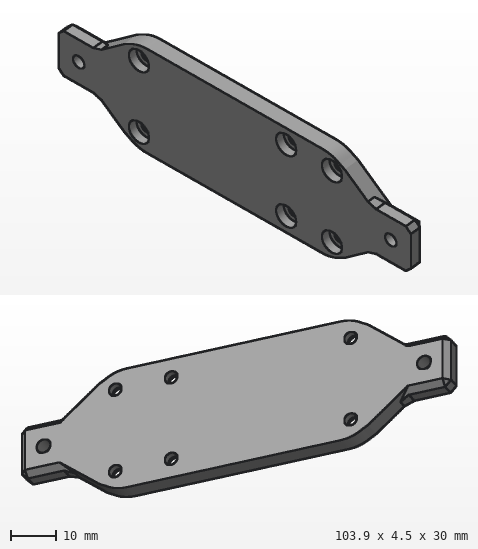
import cadquery as cq
import math

length = 103.9
height = 30.0
thickness = 4.5
half_length = length / 2
half_height = height / 2

arc_start_x = 25.9
arc_end_x, arc_end_z = 31.2, 13.4
shoulder_x, shoulder_z = 32.5, 12.7
taper_angle = math.radians(38.5)

tab_half_height = 6.4
tab_chamfer = 1.5
flare_setback = 1.4
tab_hole_x = 46.0
tab_hole_diameter = 3.3

screw_xs = (-28.3, 15.2, 28.7)
screw_z = 10.3
screw_diameter = 3.0
counterbore_diameter = 5.9
counterbore_depth = 2.5

root_x = shoulder_x + (shoulder_z - tab_half_height) / math.tan(taper_angle)
apex_x = shoulder_x + shoulder_z / math.tan(taper_angle)


def front_plane():
    """XZ sketch plane whose positive extrusion runs from front to back."""
    return cq.Workplane(cq.Plane(origin=(0, 0, 0), xDir=(1, 0, 0), normal=(0, -1, 0)))


def shoulder_arc_middle():
    """Midpoint of the arc that leaves the long edge tangentially."""
    run = arc_end_x - arc_start_x
    drop = half_height - arc_end_z
    radius = (run**2 + drop**2) / (2 * drop)
    half_sweep = math.asin(run / radius) / 2
    middle_x = arc_start_x + radius * math.sin(half_sweep)
    middle_z = half_height - radius * (1 - math.cos(half_sweep))
    return middle_x, middle_z


def make_body():
    """Central plate whose straight tapers run to a point inside each tab."""
    middle_x, middle_z = shoulder_arc_middle()
    quarter = (
        front_plane()
        .lineTo(0, half_height)
        .lineTo(arc_start_x, half_height)
        .threePointArc((middle_x, middle_z), (arc_end_x, arc_end_z))
        .lineTo(shoulder_x, shoulder_z)
        .lineTo(apex_x, 0)
        .close()
        .extrude(-thickness)
    )
    half = quarter.union(quarter.mirror("XY"))
    return half.union(half.mirror("YZ"))


def make_tabs():
    """Strip forming both end tabs, chamfered at its corners and around its back face."""
    strip = front_plane().rect(length, 2 * tab_half_height).extrude(-thickness)
    return strip.edges("|Y or >Y").chamfer(tab_chamfer)


def make_root_flares():
    """Flat fillings in the four tab roots, trimmed by the tab's back chamfer planes."""
    flare_start_x = root_x + flare_setback
    flare_end_x = root_x - flare_setback * math.cos(taper_angle)
    flare_end_z = tab_half_height + flare_setback * math.sin(taper_angle)
    quarter = (
        front_plane()
        .lineTo(0, flare_end_z)
        .lineTo(flare_end_x, flare_end_z)
        .lineTo(flare_start_x, tab_half_height)
        .lineTo(flare_start_x, 0)
        .close()
        .extrude(-thickness)
    )
    wedge_half_height = tab_half_height + thickness - tab_chamfer
    wedge = (
        cq.Workplane("YZ")
        .moveTo(0, -wedge_half_height)
        .lineTo(0, wedge_half_height)
        .lineTo(thickness, wedge_half_height - thickness)
        .lineTo(thickness, thickness - wedge_half_height)
        .close()
        .extrude(half_length, both=True)
    )
    half = quarter.union(quarter.mirror("XY"))
    return half.union(half.mirror("YZ")).intersect(wedge)


def drill(points, diameter, depth):
    """Cylinders entering from the front face."""
    return front_plane().pushPoints(points).circle(diameter / 2).extrude(-depth)


screw_points = [(x, z) for x in screw_xs for z in (-screw_z, screw_z)]
tab_points = [(-tab_hole_x, 0), (tab_hole_x, 0)]

result = (
    make_body()
    .union(make_tabs())
    .union(make_root_flares())
    .cut(drill(screw_points, screw_diameter, thickness))
    .cut(drill(screw_points, counterbore_diameter, counterbore_depth))
    .cut(drill(tab_points, tab_hole_diameter, thickness))
)